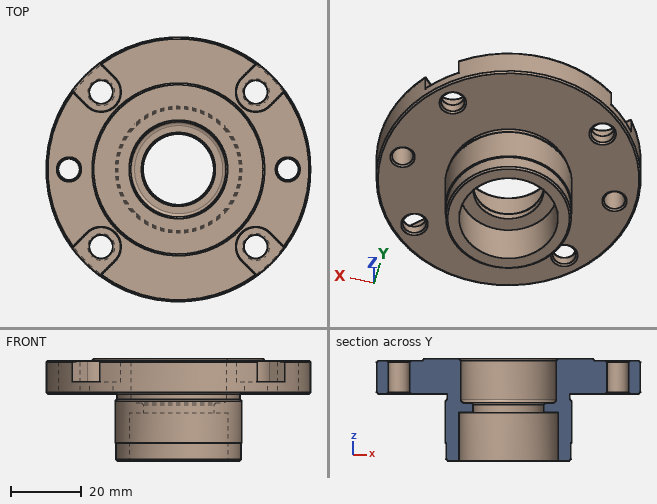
import cadquery as cq
import math

total_height = 29.0
pilot_height = 0.5
flange_thickness = 9.5
relief_length = 1.5
collar_length = 12.5
flange_top = total_height - pilot_height
flange_bottom = flange_top - flange_thickness
collar_top = flange_bottom - relief_length
collar_bottom = collar_top - collar_length

flange_radius = 37.5
pilot_radius = 24.5
collar_radius = 18.0
relief_radius = 17.5
spigot_radius = 17.75
edge_chamfer = 0.5
collar_top_chamfer = collar_radius - relief_radius
collar_bottom_chamfer = collar_radius - spigot_radius

bore_radius = 13.5
bore_depth = 12.5
bore_fillet = 1.0
through_radius = 10.0
web_thickness = 2.8
counterbore_radius = 14.0

hole_circle_radius = 31.0
bolt_hole_diameter = 6.6
bolt_angles = (45, 135, 225, 315)
pocket_width = 11.0
pocket_depth = 6.0
pocket_chamfer = 0.2
chamfer_angle = 45
pocket_floor = flange_top - pocket_depth
side_hole_diameter = 6.0
side_hole_angles = (0, 180)


def make_body():
    """Revolve the outer profile: pilot, flange, relief groove, collar and spigot."""
    profile = (
        cq.Workplane("XZ")
        .moveTo(0, 0)
        .lineTo(spigot_radius - edge_chamfer, 0)
        .lineTo(spigot_radius, edge_chamfer)
        .lineTo(spigot_radius, collar_bottom)
        .lineTo(collar_radius, collar_bottom + collar_bottom_chamfer)
        .lineTo(collar_radius, collar_top - collar_top_chamfer)
        .lineTo(relief_radius, collar_top)
        .lineTo(relief_radius, flange_bottom)
        .lineTo(flange_radius - edge_chamfer, flange_bottom)
        .lineTo(flange_radius, flange_bottom + edge_chamfer)
        .lineTo(flange_radius, flange_top - edge_chamfer)
        .lineTo(flange_radius - edge_chamfer, flange_top)
        .lineTo(pilot_radius, flange_top)
        .lineTo(pilot_radius - edge_chamfer, total_height)
        .lineTo(0, total_height)
        .close()
    )
    return profile.revolve(360, (0, 0, 0), (0, 1, 0))


def make_bore():
    """Revolve the cavity: chamfered bore with a filleted floor, through hole, lower counterbore."""
    bore_floor = total_height - bore_depth
    counterbore_top = bore_floor - web_thickness
    fillet_centre_radius = bore_radius - bore_fillet
    fillet_mid_offset = bore_fillet * math.sqrt(0.5)
    fillet_mid = (
        fillet_centre_radius + fillet_mid_offset,
        bore_floor + bore_fillet - fillet_mid_offset,
    )
    profile = (
        cq.Workplane("XZ")
        .moveTo(0, 0)
        .lineTo(counterbore_radius, 0)
        .lineTo(counterbore_radius, counterbore_top)
        .lineTo(through_radius, counterbore_top)
        .lineTo(through_radius, bore_floor - edge_chamfer)
        .lineTo(through_radius + edge_chamfer, bore_floor)
        .lineTo(fillet_centre_radius, bore_floor)
        .threePointArc(fillet_mid, (bore_radius, bore_floor + bore_fillet))
        .lineTo(bore_radius, total_height - edge_chamfer)
        .lineTo(bore_radius + edge_chamfer, total_height)
        .lineTo(0, total_height)
        .close()
    )
    return profile.revolve(360, (0, 0, 0), (0, 1, 0))


def pocket_outline(height, half_width):
    """Round-ended slot outline at a height, running outward past the flange rim."""
    return (
        cq.Workplane("XY", origin=(hole_circle_radius, 0, height))
        .moveTo(flange_radius, -half_width)
        .lineTo(0, -half_width)
        .threePointArc((-half_width, 0), (0, half_width))
        .lineTo(flange_radius, half_width)
        .close()
    )


def make_flange_hole(diameter):
    """Through hole on the hole circle at +X: both ends chamfered."""
    hole_radius = diameter / 2
    profile = (
        cq.Workplane("XZ")
        .moveTo(0, flange_bottom)
        .lineTo(hole_radius + edge_chamfer, flange_bottom)
        .lineTo(hole_radius, flange_bottom + edge_chamfer)
        .lineTo(hole_radius, flange_top - edge_chamfer)
        .lineTo(hole_radius + edge_chamfer, flange_top)
        .lineTo(0, flange_top)
        .close()
    )
    hole = profile.revolve(360, (0, 0, 0), (0, 1, 0))
    return hole.translate((hole_circle_radius, 0, 0))


def make_bolt_pocket(angle):
    """Pocket open to the rim with a chamfered mouth, and its bolt hole, at an angle."""
    half_width = pocket_width / 2
    slot = pocket_outline(pocket_floor, half_width).extrude(pocket_depth)
    mouth_outline = pocket_outline(flange_top - pocket_chamfer, half_width)
    mouth = mouth_outline.extrude(pocket_chamfer, taper=-chamfer_angle)
    hole = make_flange_hole(bolt_hole_diameter)
    return slot.union(mouth).union(hole).rotate((0, 0, 0), (0, 0, 1), angle)


def make_side_hole(angle):
    """Plain through hole with both rims chamfered, at an angle."""
    hole = make_flange_hole(side_hole_diameter)
    return hole.rotate((0, 0, 0), (0, 0, 1), angle)


result = make_body().cut(make_bore())
for bolt_angle in bolt_angles:
    result = result.cut(make_bolt_pocket(bolt_angle))
for side_angle in side_hole_angles:
    result = result.cut(make_side_hole(side_angle))